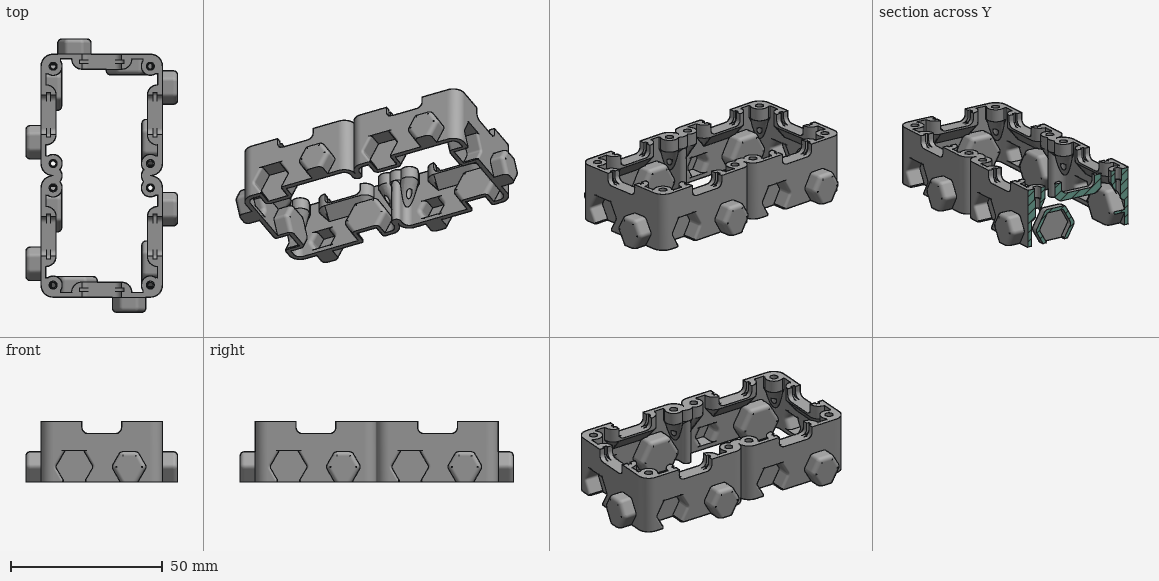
import cadquery as cq
import math

MODULE = 40.0
HALF = MODULE / 2
HEIGHT = 20.0
CORNER_R = 4.0
WALL = 1.6
INNER_FACE = HALF - WALL

POST_R = 3.0
POST_OFFSET = HALF - CORNER_R
POST_BOTTOM = 15.8
POST_WEB = 2.5
TAPER_END = 7.3
TIP_R = 2.0
TIP_CENTER = -POST_OFFSET - (CORNER_R - WALL + TIP_R) / math.sqrt(2)
JOINT_TAPER = 2.8
SCREW_D = 1.8
SCREW_END = 9.5
HEAD_D = 2.6
HEAD_DEPTH = 4.0

SILL_THICKNESS = 5.0
SILL_BOTTOM = 15.3
SILL_TAPER_END = 11.0
SILL_REACH = SILL_THICKNESS - WALL
WINDOW_HALF = 6.5
WINDOW_BOTTOM = 16.0
WINDOW_R = 2.0
GROOVE_HALF = 7.35
GROOVE_R = 1.2
GROOVE_WIDTH = 1.2

HEX_X = 9.0
HEX_Z = 5.0
PLUG_APOTHEM = 5.0
PLUG_LENGTH = 5.0
CLEARANCE = 0.35
SKIN = 1.5
SOCKET_SKIN = 1.4
EDGE_R = 1.5
FILLET_GAP = 0.01
SOCKET_APOTHEM = PLUG_APOTHEM + CLEARANCE
SOCKET_DEPTH = PLUG_LENGTH + CLEARANCE
CAVITY_CORNER_R = 1.0
SOCKET_FLARE_R = 0.85
SKIRT_Z = 0.5
BOSS_APOTHEM = SOCKET_APOTHEM + SOCKET_SKIN
BOSS_DEPTH = SOCKET_DEPTH + SKIN
PLUG_CAVITY_APOTHEM = PLUG_APOTHEM - SKIN

TAN60 = math.tan(math.radians(60))
COS30 = math.cos(math.radians(30))
BIG = 4 * MODULE

WALL_ANGLES = (0, 90, 270)
CORNER_ANGLES = (0, 90, 180, 270)
WEB_X_ANGLES = (0, 90, 270)
WEB_Y_ANGLES = (0, 90, 180)


def block(x0, x1, y0, y1, z0, z1):
    """Axis-aligned box given by its limits."""
    return cq.Workplane("XY").box(x1 - x0, y1 - y0, z1 - z0, centered=False).translate((x0, y0, z0))


def slice_z(body, z0, z1):
    """Keep only the part of a body between two heights."""
    return body.intersect(block(-BIG, BIG, -BIG, BIG, z0, z1))


def hex_knob(center_x, apothem, length, start_y, outward):
    """Rounded hexagonal knob whose lower flanks run on down to the base plane."""
    radius = apothem / COS30
    direction = 1 if outward else -1
    knob = (
        cq.Workplane("XZ", origin=(center_x, start_y, HEX_Z))
        .polyline([
            (-radius, 0),
            (-radius / 2, apothem),
            (radius / 2, apothem),
            (radius, 0),
            (0, -radius * TAN60),
        ])
        .close()
        .extrude(direction * length)
        .edges("|Y").fillet(EDGE_R)
        .faces("<Y" if outward else ">Y").edges().fillet(EDGE_R - FILLET_GAP)
    )
    return slice_z(knob, 0, HEIGHT)


def hex_cavity(center_x, apothem, depth, mouth_y, outward, corner_r, flare_r, skirt_z, z_range):
    """Cutter for a hexagonal cavity with rounded mouth edges on its slanted flanks."""
    radius = apothem / COS30
    skirt_x = radius - (HEX_Z - skirt_z) / TAN60
    direction = 1 if outward else -1
    plane = cq.Workplane("XZ", origin=(center_x, mouth_y, HEX_Z))

    def prism(length):
        return (
            plane.polyline([
                (-radius, 0),
                (0, radius * TAN60),
                (radius, 0),
                (skirt_x, skirt_z - HEX_Z),
                (skirt_x, -MODULE),
                (-skirt_x, -MODULE),
                (-skirt_x, skirt_z - HEX_Z),
            ])
            .close()
            .extrude(direction * length)
            .edges("|Y").edges("<X or >X").fillet(corner_r)
        )

    slab = plane.rect(BIG, BIG).extrude(direction * flare_r)
    mouth = ">Y" if outward else "<Y"
    throat = slab.cut(prism(flare_r))
    throat = throat.faces(mouth).wires(cq.selectors.RadiusNthSelector(0)).fillet(flare_r - FILLET_GAP)
    flared = prism(depth).union(slab.cut(throat))
    return slice_z(flared, *z_range)


def wall_prism(half_width, bottom, radius, y0, y1):
    """Upward-open U-shaped cutter running through a wall along Y."""
    return (
        cq.Workplane("XZ", origin=(0, y1, 0))
        .rect(2 * half_width, 2 * (HEIGHT - bottom))
        .extrude(y1 - y0)
        .edges("|Y").fillet(radius)
        .translate((0, 0, HEIGHT))
    )


def sill():
    """Thickened upper rim of a wall with quarter-round ends, tapering down into the wall."""
    drop = SILL_BOTTOM - SILL_TAPER_END
    rim = block(-WINDOW_HALF, WINDOW_HALF, -HALF, -INNER_FACE + SILL_REACH, SILL_BOTTOM, HEIGHT)
    taper = (
        cq.Workplane("YZ", origin=(-WINDOW_HALF, -INNER_FACE, SILL_BOTTOM))
        .polyline([(-WALL / 2, 0), (SILL_REACH, 0), (0, -drop), (-WALL / 2, -drop)])
        .close()
        .extrude(2 * WINDOW_HALF)
    )
    body = rim.union(taper)
    inside = block(-HALF, HALF, -INNER_FACE - WALL / 2, 0, 0, HEIGHT)
    for end_x in (-WINDOW_HALF, WINDOW_HALF):
        plane = cq.Workplane("XY", origin=(end_x, -INNER_FACE, SILL_BOTTOM))
        end = plane.circle(SILL_REACH).extrude(HEIGHT - SILL_BOTTOM)
        tip = cq.Workplane("XY").add(
            cq.Solid.makeCone(SILL_REACH, 0, drop, pnt=plane.plane.origin, dir=cq.Vector(0, 0, -1))
        )
        body = body.union(end.union(tip).intersect(inside))
    return body


def wall_additions():
    """Everything added to the -Y wall of a module."""
    plug = hex_knob(HEX_X, PLUG_APOTHEM, PLUG_LENGTH + WALL / 2, -HALF + WALL / 2, True)
    boss = hex_knob(-HEX_X, BOSS_APOTHEM, BOSS_DEPTH - WALL / 2, -HALF + WALL / 2, False)
    return [sill(), plug, boss]


def wall_cuts():
    """Everything removed from the -Y wall of a module."""
    sill_middle = -HALF + SILL_THICKNESS / 2
    window = wall_prism(WINDOW_HALF, WINDOW_BOTTOM, WINDOW_R, -HALF, -HALF + SILL_THICKNESS)
    groove = wall_prism(
        GROOVE_HALF, WINDOW_BOTTOM, GROOVE_R, sill_middle - GROOVE_WIDTH / 2, sill_middle + GROOVE_WIDTH / 2
    )
    socket = hex_cavity(
        -HEX_X, SOCKET_APOTHEM, SOCKET_DEPTH, -HALF, False,
        CAVITY_CORNER_R, SOCKET_FLARE_R, SKIRT_Z, (0, HEX_Z + SOCKET_APOTHEM),
    )
    plug_cavity = hex_cavity(
        HEX_X, PLUG_CAVITY_APOTHEM, PLUG_LENGTH, -INNER_FACE, True,
        CAVITY_CORNER_R, EDGE_R, SKIRT_Z, (SKIN, HEX_Z + PLUG_CAVITY_APOTHEM),
    )
    return [window, groove, socket, plug_cavity]


def tapered(upper, lower):
    """Prism over the upper outline with a loft down to the lower outline, kept inside the module."""
    prism = upper.extrude(HEIGHT - POST_BOTTOM, clean=False)
    loft = cq.Solid.makeLoft([lower.val(), upper.val()], True)
    envelope = cq.Workplane("XY").rect(MODULE, MODULE).extrude(HEIGHT).edges("|Z").fillet(CORNER_R)
    return prism.union(cq.Workplane("XY").add(loft)).intersect(envelope)


def corner_post():
    """Screw post in the (-X, -Y) module corner, tapering down into the corner."""
    upper = cq.Workplane("XY", origin=(-POST_OFFSET, -POST_OFFSET, POST_BOTTOM)).circle(POST_R)
    lower = cq.Workplane("XY", origin=(TIP_CENTER, TIP_CENTER, TAPER_END)).circle(TIP_R)
    return tapered(upper, lower)


def post_web(along_x):
    """Web filling the gap between the (-X, -Y) post and one of its two walls."""
    start = -INNER_FACE - WALL / 2
    length = POST_WEB - POST_OFFSET - start
    width = -POST_OFFSET - start
    size_x, size_y = (length, width) if along_x else (width, length)
    middle = (start + size_x / 2, start + size_y / 2, POST_BOTTOM)
    upper = cq.Workplane("XY", origin=middle).rect(size_x, size_y)
    lower = cq.Workplane("XY", origin=(TIP_CENTER, TIP_CENTER, TAPER_END)).rect(TIP_R, TIP_R)
    return tapered(upper, lower)


def screw_hole():
    """Stepped screw hole of the (-X, -Y) module corner."""
    plane = cq.Workplane("XY", origin=(-POST_OFFSET, -POST_OFFSET, HEIGHT))
    shank = plane.circle(SCREW_D / 2).extrude(SCREW_END - HEIGHT)
    return shank.union(plane.circle(HEAD_D / 2).extrude(-HEAD_DEPTH))


def joint_column():
    """Round column that narrows to the joint thickness below the post height."""
    top = cq.Workplane("XY", origin=(0, 0, POST_BOTTOM)).circle(POST_R).extrude(HEIGHT - POST_BOTTOM)
    taper = cq.Solid.makeCone(WALL, POST_R, JOINT_TAPER, pnt=cq.Vector(0, 0, POST_BOTTOM - JOINT_TAPER))
    return top.union(cq.Workplane("XY").add(taper))


def module_frame():
    """Plain walls of one module about the origin, with half of each joint column on the open +Y side."""
    outer = cq.Workplane("XY").rect(MODULE, MODULE).extrude(HEIGHT).edges("|Z").fillet(CORNER_R)
    inner = (
        cq.Workplane("XY")
        .rect(2 * INNER_FACE, 2 * INNER_FACE)
        .extrude(HEIGHT)
        .edges("|Z").fillet(CORNER_R - WALL)
    )
    opening = block(-POST_OFFSET, POST_OFFSET, HALF - 2 * WALL, HALF, 0, HEIGHT)
    body = outer.cut(inner).cut(opening)
    joint_zone = block(-POST_OFFSET, POST_OFFSET, HALF - POST_R, HALF, 0, HEIGHT)
    for side in (-1, 1):
        stub_x = side * (POST_OFFSET - POST_R + WALL)
        stub = cq.Workplane("XY").center(stub_x, HALF).circle(WALL).extrude(POST_BOTTOM)
        web = block(*sorted((stub_x, side * POST_OFFSET)), HALF - WALL, HALF, 0, POST_BOTTOM)
        column = joint_column().translate((side * POST_OFFSET, HALF, 0))
        body = body.union(column.union(stub).union(web).intersect(joint_zone))
    return body


def turned(piece, angle):
    """Turn a piece about the module axis."""
    return piece.rotate((0, 0, 0), (0, 0, 1), angle)


def module():
    """One complete module, open on its +Y side, which lies on the plane Y = 0."""
    post = corner_post()
    hole = screw_hole()
    solids = []
    voids = []
    for angle in WALL_ANGLES:
        solids += [turned(piece, angle) for piece in wall_additions()]
        voids += [turned(piece, angle) for piece in wall_cuts()]
    for angle in CORNER_ANGLES:
        solids.append(turned(post, angle))
        voids.append(turned(hole, angle))
    for along_x, angles in ((True, WEB_X_ANGLES), (False, WEB_Y_ANGLES)):
        solids += [turned(post_web(along_x), angle) for angle in angles]

    body = module_frame()
    for piece in solids:
        body = body.union(piece, clean=False)
    for piece in voids:
        body = body.cut(piece, clean=False)
    return body.clean().translate((0, -HALF, 0))


half_frame = module()
result = half_frame.union(turned(half_frame, 180)).clean()